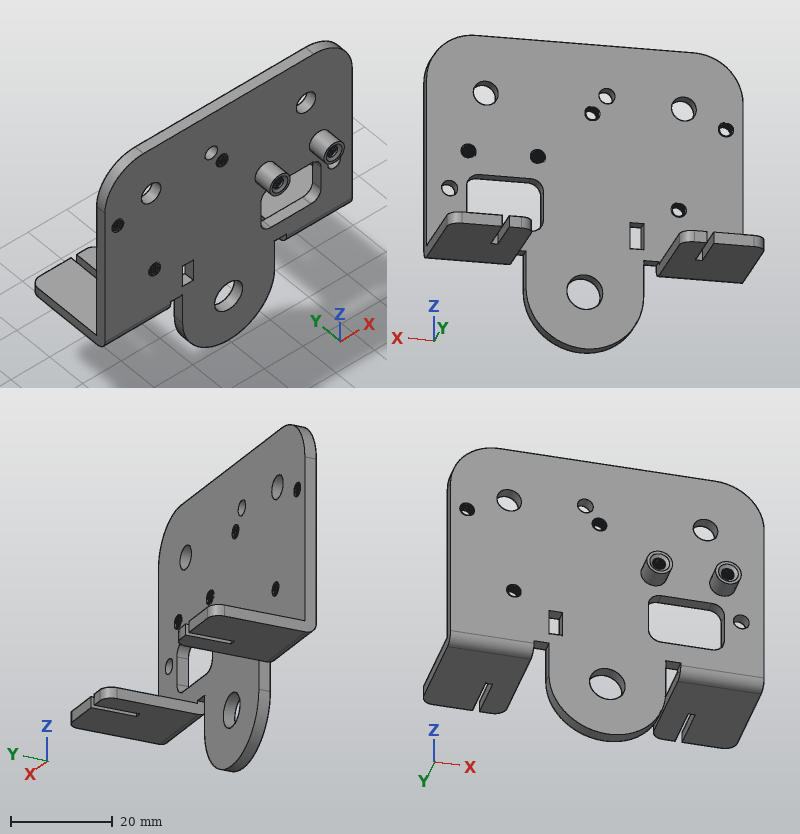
import cadquery as cq
import math


PLATE_WIDTH = 64
PLATE_TOP = 64
THICKNESS = 2.55
TOP_CORNER_RADIUS = 10.0
LUG_RADIUS = 11.9
LUG_HOLE_DIAMETER = 7.2
NOTCH_TOP = 19.5

TAB_WIDTH = 17.0
TAB_REACH = 22.8
TAB_BOTTOM = 16.65
TAB_THICKNESS = 2.4
TAB_CORNER_RADIUS = 2.5
BEND_RADIUS = 2.3
TAB_SLOT_OFFSET = 11.3
TAB_SLOT_WIDTH = 1.4
TAB_SLOT_LENGTH = 10.0

WINDOW_CENTER = (16.1, 29.3)
WINDOW_WIDTH = 15.5
WINDOW_HEIGHT = 11.0
WINDOW_CORNER_RADIUS = 2.55
SLIT_WIDTH = 2.75
SLIT_HEIGHT = 5.45
SLIT_BOTTOM = 21.8

MOUNT_HOLE_DIAMETER = 5.0
MOUNT_HOLE_X = 20.0
MOUNT_HOLE_DROP = 12.0
PIN_HOLE_DIAMETER = 3.2
PIN_HOLES = [(-4.5, 53.45), (27.3, 31.5)]

THREAD_MINOR_DIAMETER = 2.55
THREAD_MAJOR_DIAMETER = 3.1
THREAD_PITCH = 0.5
THREAD_MOUTH = 0.9 * THREAD_PITCH
THREAD_FLAT = THREAD_PITCH / 4
THREAD_START_ANGLE = 90
THREAD_ROOTING = 0.05
THREADED_HOLES = [(-28.55, 48.45), (-1.55, 49.6), (-19.0, 30.8)]
BOSS_DIAMETER = 5.25
BOSS_LENGTH = 4.5
BOSS_CENTERS = [(9.5, 39.55), (23.5, 39.55)]
COUNTERSINK_DIAMETER = 4.0
COUNTERSINK_DEPTH = 0.45
BOSS_THREAD_START = -BOSS_LENGTH + COUNTERSINK_DEPTH + THREAD_MOUTH / 2


def cylinder(center, diameter, y_start, y_end):
    """Round bar along y, centred at the given (x, z)."""
    x, z = center
    return cq.Workplane(
        cq.Solid.makeCylinder(diameter / 2, y_end - y_start, cq.Vector(x, y_start, z), cq.Vector(0, 1, 0))
    )


def block(x_range, y_range, z_range):
    """Axis-aligned box between the given limits."""
    lows, highs = zip(x_range, y_range, z_range)
    sizes = [high - low for low, high in zip(lows, highs)]
    return cq.Workplane().box(*sizes, centered=False).translate(lows)


def plate():
    """Flat plate with rounded upper corners and a round-ended lug below."""
    body = (
        block((-PLATE_WIDTH / 2, PLATE_WIDTH / 2), (0, THICKNESS), (NOTCH_TOP, PLATE_TOP))
        .edges("|Y and >Z")
        .fillet(TOP_CORNER_RADIUS)
    )
    lug = block((-LUG_RADIUS, LUG_RADIUS), (0, THICKNESS), (LUG_RADIUS, NOTCH_TOP))
    lug_end = cylinder((0, LUG_RADIUS), 2 * LUG_RADIUS, 0, THICKNESS)
    return body.union(lug).union(lug_end)


def left_tab():
    """Slotted tab at the left, including the bend that joins it to the plate."""
    left = -PLATE_WIDTH / 2
    tab_x = (left, left + TAB_WIDTH)
    tab = (
        block(tab_x, (0, TAB_REACH), (TAB_BOTTOM, TAB_BOTTOM + TAB_THICKNESS))
        .edges("|Z and >Y")
        .fillet(TAB_CORNER_RADIUS)
    )
    web = block(tab_x, (0, THICKNESS), (TAB_BOTTOM, NOTCH_TOP))
    slot_left = left + TAB_SLOT_OFFSET - TAB_SLOT_WIDTH / 2
    slot = block(
        (slot_left, slot_left + TAB_SLOT_WIDTH),
        (TAB_REACH - TAB_SLOT_LENGTH, TAB_REACH),
        (TAB_BOTTOM, TAB_BOTTOM + TAB_THICKNESS),
    )
    return tab.union(web).edges("|X and <Y and <Z").fillet(BEND_RADIUS).cut(slot)


def window():
    """Rectangular opening with rounded corners."""
    x, z = WINDOW_CENTER
    return (
        cq.Workplane()
        .box(WINDOW_WIDTH, THICKNESS, WINDOW_HEIGHT)
        .edges("|Y")
        .fillet(WINDOW_CORNER_RADIUS)
        .translate((x, THICKNESS / 2, z))
    )


def thread_groove(length):
    """Helical ridge of a tapped hole, winding along +z from the origin."""
    inner = THREAD_MINOR_DIAMETER / 2 - THREAD_ROOTING
    outer = THREAD_MAJOR_DIAMETER / 2
    helix = cq.Wire.makeHelix(THREAD_PITCH, length, inner)
    return (
        cq.Workplane("XZ")
        .moveTo(inner, -THREAD_MOUTH / 2)
        .lineTo(outer, -THREAD_FLAT / 2)
        .lineTo(outer, THREAD_FLAT / 2)
        .lineTo(inner, THREAD_MOUTH / 2)
        .close()
        .sweep(cq.Workplane(helix), isFrenet=True)
    )


def tapped_hole(center, bore_start, thread_start):
    """Cutter along +y for a threaded hole that runs out of the rear face of the plate."""
    x, z = center
    lead = thread_start - bore_start
    turns = math.ceil((THICKNESS - thread_start) / THREAD_PITCH)
    length = turns * THREAD_PITCH
    bore = cq.Workplane(
        cq.Solid.makeCylinder(THREAD_MINOR_DIAMETER / 2, length + lead, cq.Vector(0, 0, -lead))
    )
    return (
        bore.union(thread_groove(length))
        .rotate((0, 0, 0), (0, 0, 1), THREAD_START_ANGLE)
        .rotate((0, 0, 0), (1, 0, 0), -90)
        .translate((x, thread_start, z))
    )


def countersink(center):
    """Conical mouth in the free end of a boss."""
    x, z = center
    return cq.Workplane(
        cq.Solid.makeCone(
            COUNTERSINK_DIAMETER / 2,
            THREAD_MINOR_DIAMETER / 2,
            COUNTERSINK_DEPTH,
            cq.Vector(x, -BOSS_LENGTH, z),
            cq.Vector(0, 1, 0),
        )
    )


tab = left_tab()
result = plate().union(tab).union(tab.mirror("YZ"))

result = result.cut(window())
slit_x = (-LUG_RADIUS, -LUG_RADIUS + SLIT_WIDTH)
result = result.cut(block(slit_x, (0, THICKNESS), (SLIT_BOTTOM, SLIT_BOTTOM + SLIT_HEIGHT)))

result = result.cut(cylinder((0, LUG_RADIUS), LUG_HOLE_DIAMETER, 0, THICKNESS))
for side in (-1, 1):
    mount_center = (side * MOUNT_HOLE_X, PLATE_TOP - MOUNT_HOLE_DROP)
    result = result.cut(cylinder(mount_center, MOUNT_HOLE_DIAMETER, 0, THICKNESS))
for center in PIN_HOLES:
    result = result.cut(cylinder(center, PIN_HOLE_DIAMETER, 0, THICKNESS))

for center in THREADED_HOLES:
    result = result.cut(tapped_hole(center, -THREAD_PITCH, -THREAD_PITCH))
for center in BOSS_CENTERS:
    result = result.union(cylinder(center, BOSS_DIAMETER, -BOSS_LENGTH, 0))
    result = result.cut(countersink(center))
    result = result.cut(tapped_hole(center, -BOSS_LENGTH, BOSS_THREAD_START))